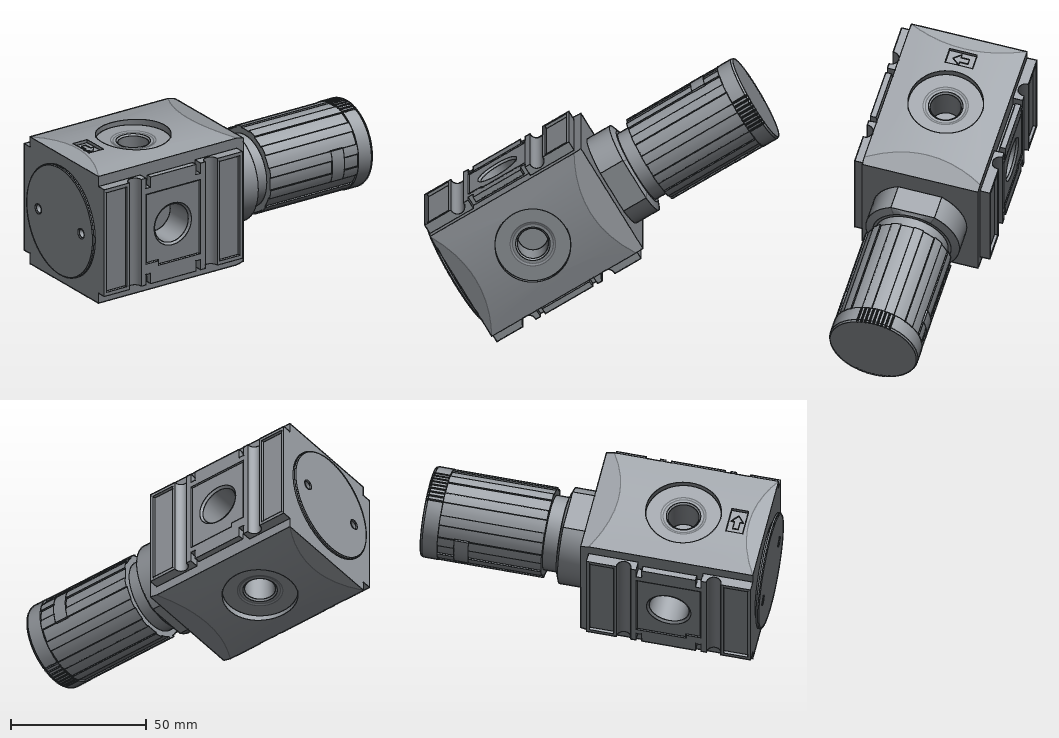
import cadquery as cq
import math


TOTAL_LENGTH = 129.0
OVERALL_WIDTH = 52.0
OVERALL_HEIGHT = 54.2

BLOCK_WIDTH = 44.5
BLOCK_LENGTH = 62.0
BLOCK_EDGE_HEIGHT = 51.1
BEVEL_LENGTH = 6.3
FLANGE_THICKNESS = 3.0
BLOCK_END = BLOCK_LENGTH / 2
HALF_HEIGHT = OVERALL_HEIGHT / 2
EDGE_HALF_HEIGHT = BLOCK_EDGE_HEIGHT / 2
DOME_RISE = HALF_HEIGHT - EDGE_HALF_HEIGHT
BEVEL_SLOPE = DOME_RISE / BEVEL_LENGTH
FLANGE_TOP = BLOCK_END + FLANGE_THICKNESS

PAD_HEIGHT = 43.0
PAD_FACE = OVERALL_WIDTH / 2
PAD_ROOT = BLOCK_WIDTH / 2
PAD_HALF_HEIGHT = PAD_HEIGHT / 2
CLAMP_GROOVE_Y = 17.0
CLAMP_GROOVE_RADIUS = 2.7
CLAMP_GROOVE_INSET = 0.3
PANEL_INNER_Y = 20.8
PANEL_OUTER_Y = 29.9
PANEL_HEIGHT = 40.1
PANEL_DEPTH = 1.2
SEAT_HALF_LENGTH = 12.3
SEAT_HALF_HEIGHT = 15.0
SEAT_STEP_LENGTH = 5.5
SEAT_STEP_HEIGHT = 1.8
SEAT_DEPTH = 0.4
SEAT_DRAFT = 45
TAB_HALF_LENGTH = 10.2
TAB_THICKNESS = 2.2
TAB_ROOT_THICKNESS = 2.8
TAB_SLOT_DEPTH = 4.1

PORT_MOUTH_DIAMETER = 16.8
PORT_DIAMETER = 15.1
PORT_DEPTH = 12.9
PORT_CHAMFER = (PORT_MOUTH_DIAMETER - PORT_DIAMETER) / 2
GAUGE_RECESS_DIAMETER = 28.0
GAUGE_RECESS_DEPTH = 2.6
GAUGE_MOUTH_DEPTH = 0.3
GAUGE_BORE_DIAMETER = 11.5
GAUGE_BORE_CHAMFER = 0.6
GAUGE_BORE_DEPTH = 12.9

ARROW_Y = -20.3
ARROW_POCKET_LENGTH = 10.6
ARROW_POCKET_WIDTH = 6.3
ARROW_POCKET_FLOOR = 25.8
ARROW_HEIGHT = 0.4
ARROW_TIP_X = 3.1
ARROW_NECK_X = 0.3
ARROW_TAIL_X = -3.0
ARROW_HEAD_HALF_WIDTH = 2.3
ARROW_SHAFT_HALF_WIDTH = 1.0

PLUG_NECK_DIAMETER = 37.2
PLUG_DIAMETER = 43.5
PLUG_NECK_LENGTH = 1.0
PLUG_THICKNESS = 1.0
PLUG_CHAMFER = 0.4
SPANNER_HOLE_SPACING = 27.7
SPANNER_HOLE_DIAMETER = 3.2
SPANNER_HOLE_CHAMFER = 0.4
SPANNER_HOLE_DEPTH = 2.6
BOTTOM_Y = -BLOCK_END - PLUG_NECK_LENGTH - PLUG_THICKNESS

COLLAR_DIAMETER = 36.0
COLLAR_FLATS = 31.9
COLLAR_LENGTH = 9.7
SHOULDER_LENGTH = 1.2
SHOULDER_TOP_DIAMETER = 30.2
STEM_DIAMETER = 28.0
STEM_LENGTH = 5.4
COLLAR_TOP = FLANGE_TOP + COLLAR_LENGTH
SHOULDER_TOP = COLLAR_TOP + SHOULDER_LENGTH
STEM_TOP = SHOULDER_TOP + STEM_LENGTH

KNOB_TOP = BOTTOM_Y + TOTAL_LENGTH
CAP_DIAMETER = 33.9
CAP_LENGTH = 6.5
CAP_CHAMFER_LENGTH = 0.8
CAP_CHAMFER_RADIAL = 0.4
GRIP_DIAMETER = 33.7
GRIP_ROOT_DIAMETER = 32.5
FLUTE_COUNT = 12
FLUTE_ANGLE = 17.2
FLUTE_PITCH = 360 / FLUTE_COUNT
INDEX_BLOCK_BASE = 77.8
INDEX_BLOCK_LENGTH = 5.4
INDEX_BLOCK_DIAMETER = 33.8
CAP_NOTCH_COUNT = 9
CAP_NOTCH_PITCH = 1.5
CAP_NOTCH_WIDTH = 0.5
CAP_NOTCH_DEPTH = 0.6
CAP_BASE = KNOB_TOP - CAP_LENGTH


def box_between(x_range, y_range, z_range):
    """Box given by its limits along each axis."""
    (x0, x1), (y0, y1), (z0, z1) = x_range, y_range, z_range
    return cq.Workplane("XY").box(x1 - x0, y1 - y0, z1 - z0, centered=False).translate((x0, y0, z0))


def disc(diameter, start_y, length):
    """Cylinder on the Y axis, from start_y toward +Y."""
    plane = cq.Workplane("XZ", origin=(0, start_y, 0))
    return plane.circle(diameter / 2).extrude(-length)


def revolved(profile):
    """Solid of revolution about Z; the profile lists (radius, z) points."""
    return cq.Workplane("XZ").polyline(profile).close().revolve(360, (0, 0), (0, 1))


def mirrored_pair(shape, plane):
    """A shape together with its mirror image."""
    return shape.union(shape.mirror(plane))


def block():
    """Block and flange: domed top and bottom, cut back by sloping end bevels."""
    half_width = BLOCK_WIDTH / 2
    domed = (
        cq.Workplane("XZ", origin=(0, -BLOCK_END, 0))
        .moveTo(-half_width, -EDGE_HALF_HEIGHT)
        .threePointArc((0, -HALF_HEIGHT), (half_width, -EDGE_HALF_HEIGHT))
        .lineTo(half_width, EDGE_HALF_HEIGHT)
        .threePointArc((0, HALF_HEIGHT), (-half_width, EDGE_HALF_HEIGHT))
        .close()
        .extrude(-(BLOCK_LENGTH + FLANGE_THICKNESS))
    )
    crown_end = BLOCK_END - BEVEL_LENGTH
    flange_half_height = EDGE_HALF_HEIGHT - BEVEL_SLOPE * FLANGE_THICKNESS
    side_outline = [
        (-BLOCK_END, -EDGE_HALF_HEIGHT),
        (-crown_end, -HALF_HEIGHT),
        (crown_end, -HALF_HEIGHT),
        (FLANGE_TOP, -flange_half_height),
        (FLANGE_TOP, flange_half_height),
        (crown_end, HALF_HEIGHT),
        (-crown_end, HALF_HEIGHT),
        (-BLOCK_END, EDGE_HALF_HEIGHT),
    ]
    beveled = cq.Workplane("YZ").polyline(side_outline).close().extrude(half_width, both=True)
    return domed.intersect(beveled)


def tab_slot():
    """Gap behind and beside the clamping tab at the upper edge of the -X pad."""
    floor = PAD_HALF_HEIGHT - TAB_SLOT_DEPTH
    channel = box_between(
        (-PAD_FACE, -PAD_ROOT),
        (-SEAT_HALF_LENGTH, SEAT_HALF_LENGTH),
        (floor, PAD_HALF_HEIGHT),
    )
    tab_outline = [
        (-PAD_FACE, floor),
        (-PAD_FACE + TAB_ROOT_THICKNESS, floor),
        (-PAD_FACE + TAB_THICKNESS, PAD_HALF_HEIGHT),
        (-PAD_FACE, PAD_HALF_HEIGHT),
    ]
    tab = cq.Workplane("XZ").polyline(tab_outline).close().extrude(TAB_HALF_LENGTH, both=True)
    return channel.cut(tab)


def port_seat():
    """Shallow keyed recess around the -X port, with sloping walls."""
    step_y = -SEAT_HALF_LENGTH + SEAT_STEP_LENGTH
    step_z = -SEAT_HALF_HEIGHT + SEAT_STEP_HEIGHT
    outline = [
        (-SEAT_HALF_LENGTH, step_z),
        (step_y, step_z),
        (step_y, -SEAT_HALF_HEIGHT),
        (SEAT_HALF_LENGTH, -SEAT_HALF_HEIGHT),
        (SEAT_HALF_LENGTH, SEAT_HALF_HEIGHT),
        (-SEAT_HALF_LENGTH, SEAT_HALF_HEIGHT),
    ]
    face = cq.Workplane("YZ", origin=(-PAD_FACE, 0, 0))
    return face.polyline(outline).close().extrude(SEAT_DEPTH, taper=SEAT_DRAFT)


def side_pad():
    """Connection pad on the -X side, without the port."""
    pad = box_between(
        (-PAD_FACE, -PAD_ROOT),
        (-BLOCK_END, BLOCK_END),
        (-PAD_HALF_HEIGHT, PAD_HALF_HEIGHT),
    )
    groove = (
        cq.Workplane("XY")
        .center(-PAD_FACE + CLAMP_GROOVE_INSET, CLAMP_GROOVE_Y)
        .circle(CLAMP_GROOVE_RADIUS)
        .extrude(PAD_HALF_HEIGHT, both=True)
    )
    panel = box_between(
        (-PAD_FACE, -PAD_FACE + PANEL_DEPTH),
        (PANEL_INNER_Y, PANEL_OUTER_Y),
        (-PANEL_HEIGHT / 2, PANEL_HEIGHT / 2),
    )
    pad = pad.cut(mirrored_pair(groove, "XZ"))
    pad = pad.cut(mirrored_pair(panel, "XZ"))
    pad = pad.cut(mirrored_pair(tab_slot(), "XY"))
    return pad.cut(port_seat())


def side_port():
    """Blind side port entering from -X, with a chamfered mouth at the seat floor."""
    mouth_radius = PORT_MOUTH_DIAMETER / 2
    bore_radius = PORT_DIAMETER / 2
    profile = [
        (0, 0),
        (mouth_radius, 0),
        (mouth_radius, -SEAT_DEPTH),
        (bore_radius, -SEAT_DEPTH - PORT_CHAMFER),
        (bore_radius, -PORT_DEPTH),
        (0, -PORT_DEPTH),
    ]
    return revolved(profile).rotate((0, 0, 0), (0, 1, 0), -90).translate((-PAD_FACE, 0, 0))


def gauge_port():
    """Gauge port entering from +Z: wide recess, shallow dished mouth and chamfered blind bore."""
    recess_radius = GAUGE_RECESS_DIAMETER / 2
    bore_radius = GAUGE_BORE_DIAMETER / 2
    floor = HALF_HEIGHT - GAUGE_RECESS_DEPTH
    ledge = floor - GAUGE_MOUTH_DEPTH
    profile = [
        (0, HALF_HEIGHT),
        (recess_radius, HALF_HEIGHT),
        (recess_radius, floor),
        (PORT_MOUTH_DIAMETER / 2, floor),
        (PORT_DIAMETER / 2, ledge),
        (bore_radius + GAUGE_BORE_CHAMFER, ledge),
        (bore_radius, ledge - GAUGE_BORE_CHAMFER),
        (bore_radius, floor - GAUGE_BORE_DEPTH),
        (0, floor - GAUGE_BORE_DEPTH),
    ]
    return revolved(profile)


def arrow_pocket():
    """Rectangular pocket in the dome, less the raised flow arrow that stands in it."""
    floor = cq.Workplane("XY", origin=(0, ARROW_Y, ARROW_POCKET_FLOOR))
    pocket = floor.rect(ARROW_POCKET_LENGTH, ARROW_POCKET_WIDTH).extrude(HALF_HEIGHT - ARROW_POCKET_FLOOR)
    outline = [
        (ARROW_TAIL_X, -ARROW_SHAFT_HALF_WIDTH),
        (ARROW_NECK_X, -ARROW_SHAFT_HALF_WIDTH),
        (ARROW_NECK_X, -ARROW_HEAD_HALF_WIDTH),
        (ARROW_TIP_X, 0),
        (ARROW_NECK_X, ARROW_HEAD_HALF_WIDTH),
        (ARROW_NECK_X, ARROW_SHAFT_HALF_WIDTH),
        (ARROW_TAIL_X, ARROW_SHAFT_HALF_WIDTH),
    ]
    return pocket.cut(floor.polyline(outline).close().extrude(ARROW_HEIGHT))


def bottom_plug():
    """Round plug under the block, before its spanner holes are drilled."""
    neck = disc(PLUG_NECK_DIAMETER, BOTTOM_Y, PLUG_THICKNESS + PLUG_NECK_LENGTH)
    plate = disc(PLUG_DIAMETER, BOTTOM_Y, PLUG_THICKNESS).faces("<Y").chamfer(PLUG_CHAMFER)
    return plate.union(neck)


def spanner_hole():
    """Blind hole with a chamfered mouth, entering from the bottom of the plug."""
    radius = SPANNER_HOLE_DIAMETER / 2
    profile = [
        (0, 0),
        (radius + SPANNER_HOLE_CHAMFER, 0),
        (radius, -SPANNER_HOLE_CHAMFER),
        (radius, -SPANNER_HOLE_DEPTH),
        (0, -SPANNER_HOLE_DEPTH),
    ]
    hole = revolved(profile).rotate((0, 0, 0), (1, 0, 0), 90)
    return hole.translate((SPANNER_HOLE_SPACING / 2, BOTTOM_Y, 0))


def bonnet():
    """Collar with two flats and a tapering shoulder, carrying the stem."""
    radius = COLLAR_DIAMETER / 2
    flat_height = COLLAR_FLATS / 2
    flat_half_width = math.sqrt(radius**2 - flat_height**2)
    flats = box_between((-radius, radius), (FLANGE_TOP, COLLAR_TOP), (-flat_height, flat_height))
    collar = disc(COLLAR_DIAMETER, FLANGE_TOP, COLLAR_LENGTH).intersect(flats)

    top_radius = SHOULDER_TOP_DIAMETER / 2
    top_x = flat_half_width * top_radius / radius
    top_z = flat_height * top_radius / radius
    shoulder = (
        cq.Workplane("XZ", origin=(0, COLLAR_TOP, 0))
        .moveTo(-flat_half_width, -flat_height)
        .lineTo(flat_half_width, -flat_height)
        .threePointArc((radius, 0), (flat_half_width, flat_height))
        .lineTo(-flat_half_width, flat_height)
        .threePointArc((-radius, 0), (-flat_half_width, -flat_height))
        .close()
        .workplane(offset=-SHOULDER_LENGTH)
        .moveTo(-top_x, -top_z)
        .threePointArc((0, -top_radius), (top_x, -top_z))
        .threePointArc((top_radius, 0), (top_x, top_z))
        .threePointArc((0, top_radius), (-top_x, top_z))
        .threePointArc((-top_radius, 0), (-top_x, -top_z))
        .close()
        .loft(ruled=True)
    )
    return collar.union(shoulder).union(disc(STEM_DIAMETER, SHOULDER_TOP, STEM_LENGTH))


def make_housing():
    """Regulator housing with its pads, ports, bottom plug and bonnet."""
    housing = block().union(mirrored_pair(side_pad(), "YZ"))
    housing = housing.union(bottom_plug()).union(bonnet())
    housing = housing.cut(mirrored_pair(side_port(), "YZ"))
    housing = housing.cut(mirrored_pair(gauge_port(), "XY"))
    housing = housing.cut(mirrored_pair(spanner_hole(), "YZ"))
    return housing.cut(arrow_pocket())


def grip_ridge(angle):
    """Raised sector between two flutes, centred at the given angle about the knob axis."""
    half_angle = math.radians(FLUTE_PITCH - FLUTE_ANGLE) / 2
    reach = GRIP_DIAMETER
    spread = reach * math.tan(half_angle)
    sector = (
        cq.Workplane("XZ", origin=(0, STEM_TOP, 0))
        .polyline([(0, 0), (reach, -spread), (reach, spread)])
        .close()
        .extrude(-(CAP_BASE - STEM_TOP))
        .rotate((0, 0, 0), (0, 1, 0), angle)
    )
    return sector.intersect(disc(GRIP_DIAMETER, STEM_TOP, CAP_BASE - STEM_TOP))


def index_blocks():
    """Two blocks on +X and -X that fill a flute and stand slightly proud of the ridges."""
    ridge_angle = math.radians(FLUTE_PITCH - FLUTE_ANGLE / 2)
    half_height = GRIP_DIAMETER / 2 * math.sin(ridge_angle)
    slab = box_between(
        (-GRIP_DIAMETER, GRIP_DIAMETER),
        (INDEX_BLOCK_BASE, INDEX_BLOCK_BASE + INDEX_BLOCK_LENGTH),
        (-half_height, half_height),
    )
    return slab.intersect(disc(INDEX_BLOCK_DIAMETER, INDEX_BLOCK_BASE, INDEX_BLOCK_LENGTH))


def knob_cap():
    """Cap of the knob, with a row of notches across its rim at +Z and -Z."""
    cap = disc(CAP_DIAMETER, CAP_BASE, CAP_LENGTH)
    cap = cap.faces(">Y").chamfer(CAP_CHAMFER_LENGTH, CAP_CHAMFER_RADIAL)
    radius = CAP_DIAMETER / 2
    for index in range(CAP_NOTCH_COUNT):
        x = (index - (CAP_NOTCH_COUNT - 1) / 2) * CAP_NOTCH_PITCH
        rim_height = math.sqrt(radius**2 - x**2)
        notch = box_between(
            (x - CAP_NOTCH_WIDTH / 2, x + CAP_NOTCH_WIDTH / 2),
            (CAP_BASE, KNOB_TOP),
            (rim_height - CAP_NOTCH_DEPTH, radius),
        )
        cap = cap.cut(mirrored_pair(notch, "XY"))
    return cap


def make_knob():
    """Adjusting knob that stands on the stem."""
    knob = disc(GRIP_ROOT_DIAMETER, STEM_TOP, CAP_BASE - STEM_TOP)
    for index in range(FLUTE_COUNT):
        knob = knob.union(grip_ridge((index + 0.5) * FLUTE_PITCH))
    return knob.union(index_blocks()).union(knob_cap())


housing = make_housing()
knob = make_knob()

result = cq.Compound.makeCompound([housing.solids().val(), knob.solids().val()])